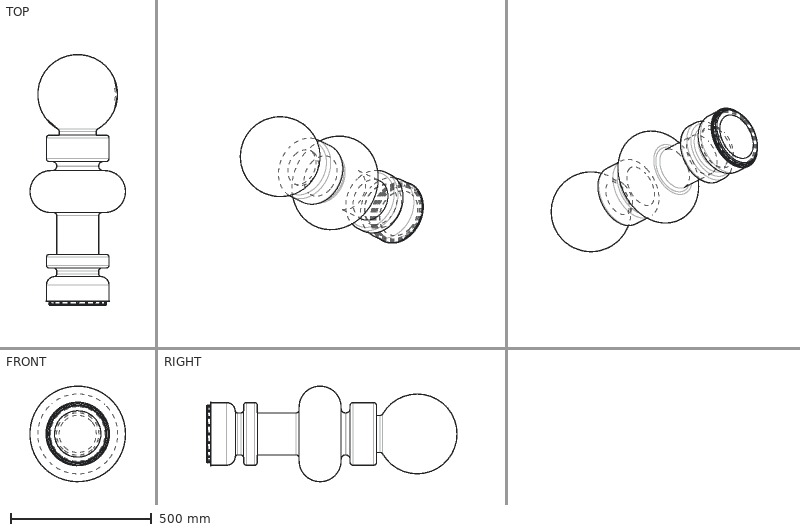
import math

import cadquery as cq


column_radius = 223 / 2
shaft_radius = 150 / 2
foot_round = 31.0
foot_height = 86.5
foot_cove = 9.0
lower_collar_start = 116.0
lower_collar_width = 49.0
lower_collar_round = 10.0
lower_collar_fillet = 10.0
bulge_start = 312.5
bulge_round = 75.0
bulge_radius = 170.0
bulge_fillet = 10.0
upper_neck_gap = 31.0
upper_neck_fillet = 14.5
upper_collar_width = 94.5
upper_collar_round = 11.0

lower_collar_end = lower_collar_start + lower_collar_width
bulge_flat_radius = bulge_radius - bulge_round
bulge_end = bulge_start + 2 * bulge_round
upper_collar_start = bulge_end + upper_neck_gap
upper_collar_end = upper_collar_start + upper_collar_width

total_length = 890.17
ball_radius = 142.0
ball_neck_radius = 132 / 2
ball_neck_fillet = 10.0

rim_outer_radius = 226 / 2
rim_inner_radius = 215 / 2
rim_thickness = 2.0
cap_height = 16.0
cap_radius = 206 / 2
cap_face_radius = 100.0
cap_bevel_depth = 4.5
groove_radius = 10.5
cavity_radius = 97.0
cavity_roof = 5.0
window_radius = 165 / 2
window_thickness = 3.0
vent_count = 20
vent_diameter = 6.0

ball_centre = total_length - cap_height - ball_radius


def bulging_arc(outline, end, radius):
    """Continue the outline with an arc that curves away from the axis."""
    return outline.radiusArc(end, -radius)


def hollow_arc(outline, end, radius):
    """Continue the outline with an arc that curves towards the axis."""
    return outline.radiusArc(end, radius)


def revolve(outline):
    """Turn a closed (radius, Y) outline about the Y axis."""
    return outline.close().revolve(360, (0, 0, 0), (0, 1, 0))


def add_collar(outline, start, end, edge_round):
    """Add a collar with both outer edges rounded."""
    face_radius = column_radius - edge_round
    outline = outline.lineTo(face_radius, start)
    outline = bulging_arc(outline, (column_radius, start + edge_round), edge_round)
    outline = outline.lineTo(column_radius, end - edge_round)
    return bulging_arc(outline, (face_radius, end), edge_round)


def add_fillet_below(outline, face, radius):
    """Run along the shaft, then add the fillet under a face that looks towards -Y."""
    outline = outline.lineTo(shaft_radius, face - radius)
    return hollow_arc(outline, (shaft_radius + radius, face), radius)


def add_fillet_above(outline, face, radius):
    """Run inwards on a face that looks towards +Y, then add the fillet up to the shaft."""
    outline = outline.lineTo(shaft_radius + radius, face)
    return hollow_arc(outline, (shaft_radius, face + radius), radius)


def add_foot(outline):
    """Add the foot, its large round and the cove that ends tangent to the shaft."""
    top_radius = column_radius - foot_round
    cove_reach = shaft_radius + foot_cove - top_radius
    cove_top = foot_height + math.sqrt(foot_cove**2 - cove_reach**2)
    outline = outline.lineTo(column_radius, 0)
    outline = outline.lineTo(column_radius, foot_height - foot_round)
    outline = bulging_arc(outline, (top_radius, foot_height), foot_round)
    return hollow_arc(outline, (shaft_radius, cove_top), foot_cove)


def add_bulge(outline):
    """Add the half-round bulge with its flat faces and fillets."""
    outline = add_fillet_below(outline, bulge_start, bulge_fillet)
    outline = outline.lineTo(bulge_flat_radius, bulge_start)
    outline = outline.threePointArc(
        (bulge_radius, bulge_start + bulge_round), (bulge_flat_radius, bulge_end)
    )
    return add_fillet_above(outline, bulge_end, upper_neck_fillet)


def add_ball_neck(outline):
    """Add the neck and its fillet, tangent to the ball, and close in to the ball centre."""
    centre_distance = ball_radius + ball_neck_fillet
    fillet_radial = ball_neck_radius + ball_neck_fillet
    fillet_below_ball = math.sqrt(centre_distance**2 - fillet_radial**2)
    on_ball = ball_radius / centre_distance
    ball_point = (fillet_radial * on_ball, ball_centre - fillet_below_ball * on_ball)
    outline = outline.lineTo(ball_neck_radius, upper_collar_end)
    outline = outline.lineTo(ball_neck_radius, ball_centre - fillet_below_ball)
    outline = hollow_arc(outline, ball_point, ball_neck_fillet)
    return outline.lineTo(0, ball_centre)


def make_column():
    """The turned column with the ball, one solid."""
    outline = add_foot(cq.Workplane("XY"))
    outline = add_fillet_below(outline, lower_collar_start, lower_collar_fillet)
    outline = add_collar(outline, lower_collar_start, lower_collar_end, lower_collar_round)
    outline = outline.lineTo(shaft_radius, lower_collar_end)
    outline = add_bulge(outline)
    outline = add_fillet_below(outline, upper_collar_start, upper_neck_fillet)
    outline = add_collar(outline, upper_collar_start, upper_collar_end, upper_collar_round)
    outline = add_ball_neck(outline)
    ball = cq.Workplane("XY").sphere(ball_radius).translate((0, ball_centre, 0))
    return revolve(outline).union(ball)


def make_rim():
    """Thin ring between the column and the cap, standing slightly proud of the foot."""
    ring = cq.Workplane("XZ").circle(rim_outer_radius).circle(rim_inner_radius)
    return ring.extrude(rim_thickness)


def make_cap():
    """Hollow cap that sits in the rim, with a ring of radial vents along its side groove."""
    front = -cap_height
    bevel_edge = front + cap_bevel_depth
    groove_middle = (bevel_edge - rim_thickness) / 2
    half_groove = groove_middle - bevel_edge
    groove_depth = groove_radius - math.sqrt(groove_radius**2 - half_groove**2)
    cap = revolve(
        cq.Workplane("XY")
        .lineTo(rim_inner_radius, 0)
        .lineTo(rim_inner_radius, -rim_thickness)
        .lineTo(cap_radius, -rim_thickness)
        .threePointArc((cap_radius - groove_depth, groove_middle), (cap_radius, bevel_edge))
        .lineTo(cap_face_radius, front)
        .lineTo(0, front)
    )

    roof = front + cavity_roof
    cavity = cq.Workplane("XZ", origin=(0, -rim_thickness, 0)).circle(cavity_radius)
    cap = cap.cut(cavity.extrude(-rim_thickness - roof))
    window = cq.Workplane("XZ", origin=(0, roof, 0)).circle(window_radius)
    cap = cap.cut(window.extrude(cavity_roof - window_thickness))

    vent = cq.Workplane("XY", origin=(0, groove_middle, 0)).circle(vent_diameter / 2)
    vent = vent.extrude(cap_radius)
    for index in range(vent_count):
        cap = cap.cut(vent.rotate((0, 0, 0), (0, 1, 0), index * 360 / vent_count))
    return cap


column = make_column()
rim = make_rim()
cap = make_cap()
result = cq.Compound.makeCompound([column.val(), rim.val(), cap.val()])